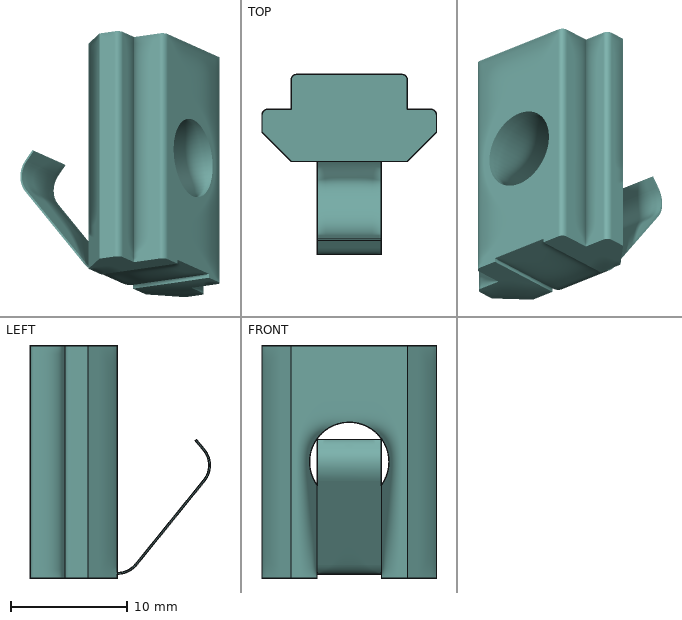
import cadquery as cq
import math

body_height = 20.0
body_width = 15.0
tongue_width = 10.0
tongue_depth = 3.0
flange_side_depth = 2.0
bevel = (body_width - tongue_width) / 2
flange_depth = flange_side_depth + bevel
body_depth = flange_depth + tongue_depth
corner_radius = 0.5
hole_diameter = 6.8

leaf_width = 5.55
leaf_thickness = 0.15
slot_height = 0.35
leaf_reach = 8.0
bend_radius = 2.15
leaf_angle = math.radians(51.0)
tip_angle = math.radians(50.0)
tip_length = 1.08
root_overlap = 0.4


def make_body():
    half_width = body_width / 2
    half_tongue = tongue_width / 2
    right_side = [
        (half_tongue, 0),
        (half_width, bevel),
        (half_width, flange_depth),
        (half_tongue, flange_depth),
        (half_tongue, body_depth),
    ]
    left_side = [(-x, y) for x, y in reversed(right_side)]
    body = cq.Workplane("XY").polyline(right_side + left_side).close().extrude(body_height)

    rounded_corners = [
        (side * x, y)
        for side in (-1, 1)
        for x, y in ((half_width, flange_depth), (half_tongue, body_depth))
    ]
    for x, y in rounded_corners:
        nearest_edge = cq.selectors.NearestToPointSelector((x, y, body_height / 2))
        body = body.edges("|Z").edges(nearest_edge).fillet(corner_radius)
    return body


def make_hole():
    return (
        cq.Workplane("XZ")
        .center(0, body_height / 2)
        .circle(hole_diameter / 2)
        .extrude(-body_depth)
    )


def make_slot():
    return cq.Workplane("XY").box(leaf_width, body_depth, slot_height, centered=(True, False, False))


def make_leaf():
    inner_radius = bend_radius - leaf_thickness
    arm_length = (leaf_reach - bend_radius) / math.cos(leaf_angle)

    low_centre = (0, slot_height + bend_radius)
    high_centre = (
        arm_length * math.cos(leaf_angle),
        low_centre[1] + arm_length * math.sin(leaf_angle),
    )
    root_direction = -math.pi / 2
    arm_direction = leaf_angle - math.pi / 2
    tip_direction = math.pi / 2 - tip_angle

    def on_bend(centre, radius, direction):
        forward = centre[0] + radius * math.cos(direction)
        return (-forward, centre[1] + radius * math.sin(direction))

    def tip_end(radius):
        y, z = on_bend(high_centre, radius, tip_direction)
        return (y + tip_length * math.cos(tip_angle), z + tip_length * math.sin(tip_angle))

    low_middle = (root_direction + arm_direction) / 2
    high_middle = (arm_direction + tip_direction) / 2
    profile = (
        cq.Workplane("YZ")
        .moveTo(root_overlap, slot_height)
        .lineTo(0, slot_height)
        .threePointArc(
            on_bend(low_centre, bend_radius, low_middle),
            on_bend(low_centre, bend_radius, arm_direction),
        )
        .lineTo(*on_bend(high_centre, bend_radius, arm_direction))
        .threePointArc(
            on_bend(high_centre, bend_radius, high_middle),
            on_bend(high_centre, bend_radius, tip_direction),
        )
        .lineTo(*tip_end(bend_radius))
        .lineTo(*tip_end(inner_radius))
        .lineTo(*on_bend(high_centre, inner_radius, tip_direction))
        .threePointArc(
            on_bend(high_centre, inner_radius, high_middle),
            on_bend(high_centre, inner_radius, arm_direction),
        )
        .lineTo(*on_bend(low_centre, inner_radius, arm_direction))
        .threePointArc(
            on_bend(low_centre, inner_radius, low_middle),
            on_bend(low_centre, inner_radius, root_direction),
        )
        .lineTo(root_overlap, slot_height + leaf_thickness)
        .close()
    )
    return profile.extrude(leaf_width / 2, both=True)


result = make_body().cut(make_hole()).cut(make_slot()).union(make_leaf())